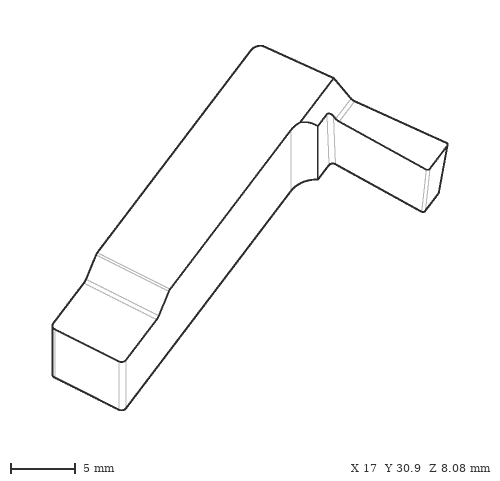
import cadquery as cq
import math

overall_x = 17.0
overall_y = 30.9
overall_z = 8.08
shank_width = 6.6
ledge_z = 6.4
step_height = overall_z - ledge_z

side_angle = 2.5
side_draft = 2.5
tip_draft = 5.4
tip_width = 3.0
tip_radius = 0.2

shoulder_x = 7.8
shoulder_arc_start_y = 24.6
shoulder_arc_radius = 2.3
shoulder_root_radius = 0.35

front_corner_radius = 0.4
back_corner_radius = 0.95
back_corner_start_y = 29.41

front_ramp_top_y = 6.78
side_ramp_top_x = 6.82
ramp_foot_radius = 0.45
ramp_top_radius = 0.25

side_slope = math.tan(math.radians(side_angle))
side_lean = math.tan(math.radians(side_draft))
tip_lean = math.tan(math.radians(tip_draft))
margin = 2.0


def back_y(x, z):
    """Y of the sloped, drafted plane that closes the back of shank and blade."""
    return overall_y - side_slope * (overall_x - x) + side_lean * (z - ledge_z)


def blade_front_y(x, z):
    """Y of the opposite side of the blade, mirrored about its centre line."""
    return 2 * overall_y - tip_width - back_y(x, z)


def tip_x(z):
    """X of the leaning tip face."""
    return overall_x + tip_lean * (z - ledge_z)


def drafted_prism(section):
    """Solid between the floor and full height, with section(z) giving its corners."""
    return (
        cq.Workplane("XY")
        .polyline(section(0))
        .close()
        .workplane(offset=overall_z)
        .polyline(section(overall_z))
        .close()
        .loft(ruled=True, combine=True)
    )


def make_shank():
    """Full-height bar with a shoulder swelling toward the blade."""
    arc_dx = shoulder_x - shank_width
    arc_angle = math.acos(1 - arc_dx / shoulder_arc_radius)
    arc_end_y = shoulder_arc_start_y + shoulder_arc_radius * math.sin(arc_angle)
    arc_mid = (
        shank_width + shoulder_arc_radius * (1 - math.cos(arc_angle / 2)),
        shoulder_arc_start_y + shoulder_arc_radius * math.sin(arc_angle / 2),
    )
    corner_back_y = back_corner_start_y + back_corner_radius
    corner_inset = back_corner_radius * (1 - math.sqrt(0.5))
    return (
        cq.Workplane("XY")
        .lineTo(shank_width, 0)
        .lineTo(shank_width, shoulder_arc_start_y)
        .threePointArc(arc_mid, (shoulder_x, arc_end_y))
        .lineTo(shoulder_x, overall_y)
        .lineTo(back_corner_radius, overall_y)
        .lineTo(back_corner_radius, corner_back_y)
        .threePointArc((corner_inset, corner_back_y - corner_inset), (0, back_corner_start_y))
        .close()
        .extrude(overall_z)
        .edges(cq.selectors.BoxSelector((-margin, -margin, 0), (overall_x, margin, overall_z)))
        .edges("|Z")
        .fillet(front_corner_radius)
    )


def make_blade():
    """Blade tapering toward the shank and downward, with rounded tip corners."""

    def section(z):
        return [
            (shank_width, blade_front_y(shank_width, z)),
            (tip_x(z), blade_front_y(tip_x(z), z)),
            (tip_x(z), back_y(tip_x(z), z)),
            (shank_width, back_y(shank_width, z)),
        ]

    tip_edges = cq.selectors.BoxSelector(
        (overall_x - margin, 0, margin), (overall_x + margin, overall_y + margin, ledge_z)
    )
    return drafted_prism(section).edges(tip_edges).fillet(tip_radius)


def make_back_trim():
    """Everything behind the sloped back plane."""
    left = -margin
    right = overall_x + margin

    def section(z):
        return [
            (left, back_y(left, z)),
            (right, back_y(right, z)),
            (right, overall_y + margin),
            (left, overall_y + margin),
        ]

    return drafted_prism(section)


def fillet_root(body):
    """Round the inside corner between shoulder and blade."""
    root_y = blade_front_y(shoulder_x, ledge_z / 2)
    reach = 0.3
    root = cq.selectors.BoxSelector(
        (shoulder_x - reach, root_y - reach, 0), (shoulder_x + reach, root_y + reach, overall_z)
    )
    return body.edges(root).fillet(shoulder_root_radius)


def ramp_profile(plane, top_position, far_end):
    """Outline above the ledge, rising at 45 degrees from the ledge toward top_position and beyond."""
    direction = math.copysign(1, top_position - far_end)
    return (
        cq.Workplane(plane)
        .moveTo(far_end, ledge_z)
        .lineTo(top_position - direction * step_height, ledge_z)
        .lineTo(top_position + direction * margin, overall_z + margin)
        .lineTo(far_end, overall_z + margin)
        .close()
    )


def round_ramp_foot(cutter, foot):
    """Round the cutter edge that shapes the foot of a ramp."""
    return cutter.edges(cq.selectors.NearestToPointSelector(foot)).fillet(ramp_foot_radius)


def cut_front_ramp(body):
    """Lower the front end of the shank and round both ends of its ramp."""
    cutter = ramp_profile("YZ", front_ramp_top_y, -margin).extrude(shank_width)
    foot = (shank_width / 2, front_ramp_top_y - step_height, ledge_z)
    ramp_top = (shank_width / 2, front_ramp_top_y, overall_z)
    return (
        body.cut(round_ramp_foot(cutter, foot))
        .edges(cq.selectors.NearestToPointSelector(ramp_top))
        .fillet(ramp_top_radius)
    )


def cut_side_ramp(body):
    """Lower the blade and slope the shoulder down to it."""
    cutter_length = overall_y + margin
    cutter = ramp_profile("XZ", side_ramp_top_x, overall_x + margin).extrude(-cutter_length)
    foot = (side_ramp_top_x + step_height, cutter_length / 2, ledge_z)
    return body.cut(round_ramp_foot(cutter, foot))


result = make_shank().union(make_blade()).cut(make_back_trim())
result = fillet_root(result)
result = cut_front_ramp(result)
result = cut_side_ramp(result)